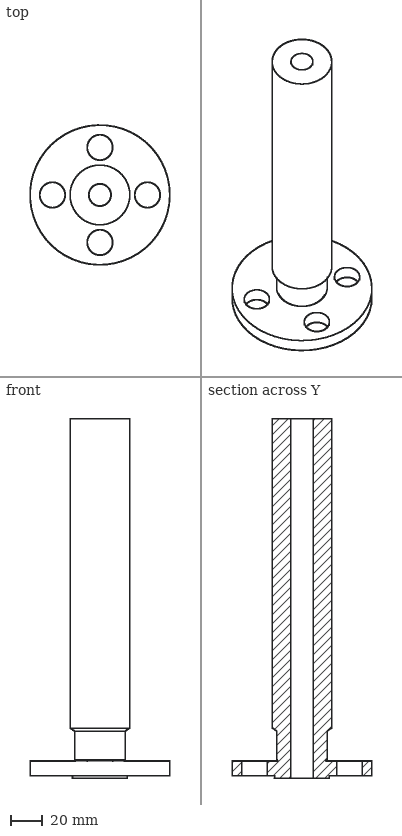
import cadquery as cq

total_height = 228.5

flange_diameter = 89.0
flange_top = 11.2
face_diameter = 35.0
face_height = 1.5

bolt_circle_diameter = 60.4
bolt_hole_diameter = 16.0
bolt_hole_count = 4

neck_diameter = 32.2
neck_top = 30.0
column_diameter = 38.0
cone_height = 2.0

neck_chamfer = 0.7

bore_diameter = 14.0


def turned_body():
    """Solid of revolution about Z, from the sealing face to the column top."""
    face_radius = face_diameter / 2
    flange_radius = flange_diameter / 2
    neck_radius = neck_diameter / 2
    column_radius = column_diameter / 2
    column_bottom = neck_top + cone_height
    profile = [
        (0, 0),
        (face_radius, 0),
        (face_radius, face_height),
        (flange_radius, face_height),
        (flange_radius, flange_top),
        (neck_radius - neck_chamfer, flange_top),
        (neck_radius, flange_top + neck_chamfer),
        (neck_radius, neck_top),
        (column_radius, column_bottom),
        (column_radius, total_height),
        (0, total_height),
    ]
    return cq.Workplane("XZ").polyline(profile).close().revolve(360, (0, 0, 0), (0, 1, 0))


def bolt_holes():
    """Cutters for the bolt holes, on the X and Y axes."""
    return (
        cq.Workplane("XY")
        .polarArray(bolt_circle_diameter / 2, 0, 360, bolt_hole_count)
        .circle(bolt_hole_diameter / 2)
        .extrude(flange_top)
    )


def bore():
    """Cutter for the central bore."""
    return cq.Workplane("XY").circle(bore_diameter / 2).extrude(total_height)


result = turned_body().cut(bolt_holes()).cut(bore())